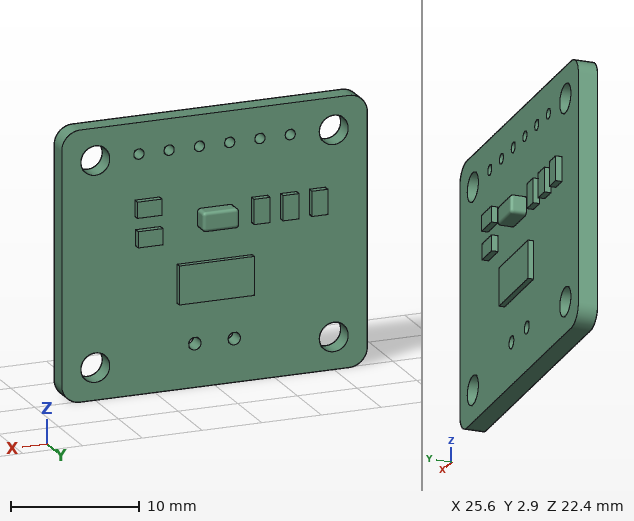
import cadquery as cq

board_width = 25.6
board_height = 22.35
board_thickness = 1.6
corner_radius = 1.54
overall_depth = 2.9

mount_diameter = 2.4
mount_spacing_x = 19.97
mount_spacing_z = 17.0

header_count = 6
header_pitch = 2.53
header_diameter = 0.85
header_z = 8.58

terminal_spacing = 3.3
terminal_diameter = 1.02
terminal_z = -7.58

chip_length = 2.07
chip_width = 1.33
chip_height = 0.55
upright_chips = [(-9.27, 1.82), (-6.85, 1.77), (-4.43, 1.77)]
flat_chips = [(4.6, 3.5), (4.53, 1.08)]

circuit_length = 6.27
circuit_width = 3.2
circuit_height = 0.45
circuit_bottom = -4.07

can_length = 3.02
can_width = 1.6
can_height = overall_depth - board_thickness
can_left = -1.6
can_bottom = 1.9
can_corner_radius = 0.28
can_top_radius = 0.25

embed = 0.13


def make_board():
    """Rounded rectangular plate."""
    plate = cq.Workplane("XY").box(
        board_width, board_thickness, board_height, centered=(True, False, True)
    )
    return plate.edges("|Y").fillet(corner_radius)


def holes(points, diameter):
    """Cylinders through the board thickness at (X, Z) points."""
    plane = cq.Workplane("XZ")
    return plane.pushPoints(points).circle(diameter / 2).extrude(-board_thickness)


def component(left, bottom, size_x, size_z, height):
    """Rectangular body mounted on the +Y face."""
    body = cq.Workplane("XY").box(size_x, height + embed, size_z, centered=False)
    return body.translate((left, board_thickness - embed, bottom))


def make_can():
    """Crystal can with rounded upright corners and a rounded top rim."""
    can = component(can_left, can_bottom, can_length, can_width, can_height)
    can = can.edges("|Y").fillet(can_corner_radius)
    return can.faces(">Y").edges().fillet(can_top_radius)


mount_points = [
    (side * mount_spacing_x / 2, level * mount_spacing_z / 2)
    for side in (-1, 1)
    for level in (-1, 1)
]
header_points = [
    ((i - (header_count - 1) / 2) * header_pitch, header_z)
    for i in range(header_count)
]
terminal_points = [(side * terminal_spacing / 2, terminal_z) for side in (-1, 1)]

result = make_board()
result = result.cut(holes(mount_points, mount_diameter))
result = result.cut(holes(header_points, header_diameter))
result = result.cut(holes(terminal_points, terminal_diameter))

for left, bottom in upright_chips:
    result = result.union(component(left, bottom, chip_width, chip_length, chip_height))
for left, bottom in flat_chips:
    result = result.union(component(left, bottom, chip_length, chip_width, chip_height))

result = result.union(
    component(-circuit_length / 2, circuit_bottom, circuit_length, circuit_width, circuit_height)
)
result = result.union(make_can())